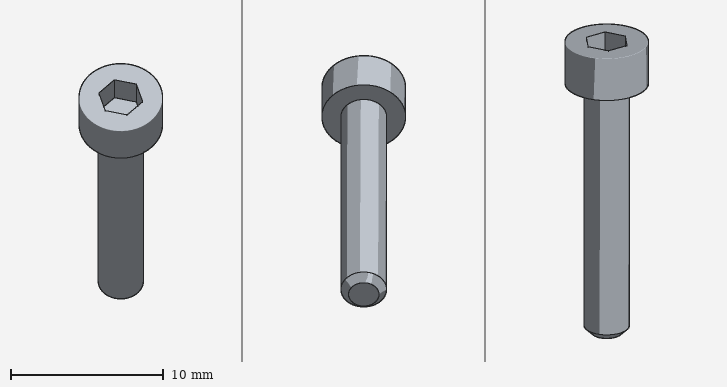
import cadquery as cq
import math

thread_diameter = 3.0
head_diameter = 5.5
head_height = thread_diameter
head_edge_fillet = 0.03
shank_length = 18.0
tip_chamfer = 0.5

socket_sides = 6
socket_across_flats = 2.56
socket_across_corners = socket_across_flats / math.cos(math.pi / socket_sides)
socket_depth = 2.0


def make_head():
    head = cq.Workplane("XY").circle(head_diameter / 2).extrude(head_height)
    return head.faces(">Z").edges().fillet(head_edge_fillet)


def make_shank():
    shank = cq.Workplane("XY").circle(thread_diameter / 2).extrude(-shank_length)
    return shank.faces("<Z").edges().chamfer(tip_chamfer)


def make_socket():
    return (
        cq.Workplane("XY")
        .workplane(offset=head_height - socket_depth)
        .polygon(socket_sides, socket_across_corners)
        .extrude(socket_depth)
    )


result = make_head().union(make_shank()).cut(make_socket())